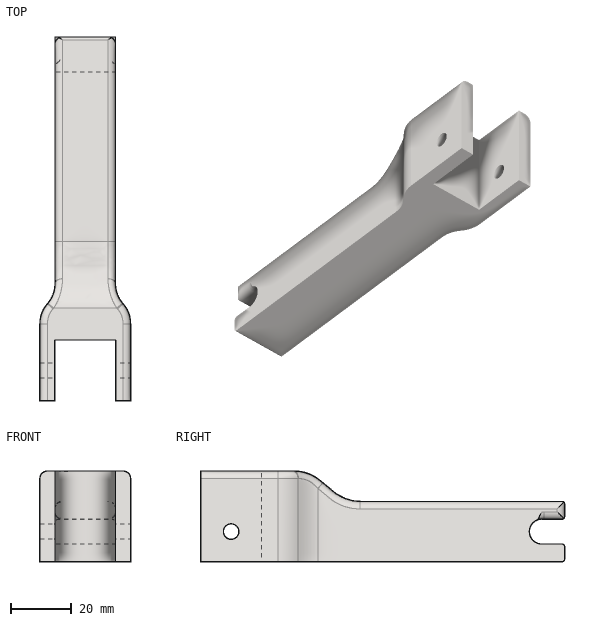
import cadquery as cq
import math

length = 120.0
fork_width = 30.0
fork_height = 30.0
arm_width = fork_width * 2 / 3
arm_height = fork_height * 2 / 3

top_bend_start = 30.6
top_bend_end = 52.5
side_bend_radius = 10.0
side_bend_start = 25.5

fork_gap = arm_width
fork_depth = 20.0
pin_diameter = 5.0
pin_from_tip = fork_depth / 2
pin_height = arm_height / 2

slot_height = 8.0
slot_bore_radius = 4.1
slot_bore_from_end = 7.5
slot_center_height = arm_height / 2

edge_radius = 2.5
end_edge_radius = 1.0

clearance = 1.2
pick_tolerance = 0.01


def bend_length(radius, offset):
    """Length of an S-bend of two equal arcs shifting a face by offset."""
    return math.sqrt(4 * radius * offset - offset**2)


def arc_middle(start, radius, offset):
    """Middle of the first arc and the inflection, as (distance along, shift)."""
    half_length = bend_length(radius, offset) / 2
    half_angle = math.asin(half_length / radius) / 2
    along = radius * math.sin(half_angle)
    shift = radius * (1 - math.cos(half_angle))
    return (start + along, shift), (start + half_length, offset / 2)


def side_profile():
    """Y-Z outline, with the top face stepping down from fork to arm."""
    return (
        cq.Workplane("YZ", origin=(-fork_width / 2, 0, 0))
        .moveTo(0, 0)
        .lineTo(0, fork_height)
        .lineTo(top_bend_start, fork_height)
        .spline([(top_bend_end, arm_height)], tangents=[(1, 0), (1, 0)], includeCurrent=True)
        .lineTo(length, arm_height)
        .lineTo(length, 0)
        .close()
        .extrude(fork_width)
    )


def plan_profile():
    """X-Y outline, narrowing from fork to arm on both sides."""
    fork_side = fork_width / 2
    arm_side = arm_width / 2
    step = fork_side - arm_side
    bend_end = side_bend_start + bend_length(side_bend_radius, step)
    (mid_y, mid_step), (turn_y, turn_step) = arc_middle(side_bend_start, side_bend_radius, step)
    mid_arm_y = side_bend_start + bend_end - mid_y
    return (
        cq.Workplane("XY")
        .moveTo(-fork_side, 0)
        .lineTo(fork_side, 0)
        .lineTo(fork_side, side_bend_start)
        .threePointArc((fork_side - mid_step, mid_y), (fork_side - turn_step, turn_y))
        .threePointArc((arm_side + mid_step, mid_arm_y), (arm_side, bend_end))
        .lineTo(arm_side, length)
        .lineTo(-arm_side, length)
        .lineTo(-arm_side, bend_end)
        .threePointArc((-arm_side - mid_step, mid_arm_y), (turn_step - fork_side, turn_y))
        .threePointArc((mid_step - fork_side, mid_y), (-fork_side, side_bend_start))
        .close()
        .extrude(fork_height)
    )


def arm_slot():
    """Slot open to the arm end, ending in a slightly wider round bore."""
    bore_y = length - slot_bore_from_end
    mouth = (
        cq.Workplane("XY")
        .box(fork_width, slot_bore_from_end + clearance, slot_height, centered=(True, False, True))
        .translate((0, bore_y, slot_center_height))
    )
    bore = (
        cq.Workplane("YZ")
        .center(bore_y, slot_center_height)
        .circle(slot_bore_radius)
        .extrude(fork_width / 2, both=True)
    )
    return mouth.union(bore)


def round_top_edges(body):
    """Round both long upper edges from fork tip to arm end."""
    tip_edges = body.edges("|Y").edges(cq.selectors.BoxSelector(
        (-fork_width, -clearance, fork_height - clearance),
        (fork_width, side_bend_start, fork_height + clearance),
    ))
    return tip_edges.fillet(edge_radius)


def round_lip_underside(body):
    """Round the two side edges where the slot roof meets the arm sides."""
    roof_height = slot_center_height + slot_height / 2
    roof_edges = body.edges("|Y").edges(cq.selectors.BoxSelector(
        (-fork_width, length - slot_bore_from_end, roof_height - pick_tolerance),
        (fork_width, length + clearance, roof_height + pick_tolerance),
    ))
    return roof_edges.fillet(edge_radius)


def prong_end(bottom, top):
    """Envelope of one prong beside the slot, its end edges slightly rounded."""
    return (
        cq.Workplane("XY")
        .box(arm_width, slot_bore_from_end, top - bottom, centered=(True, False, False))
        .translate((0, length - slot_bore_from_end, bottom))
        .edges(">Y and |X")
        .fillet(end_edge_radius)
    )


def lip_plan():
    """Upper prong envelope with its two upright corners rounded."""
    return (
        cq.Workplane("XY")
        .box(arm_width, slot_bore_from_end, arm_height, centered=(True, False, False))
        .translate((0, length - slot_bore_from_end, 0))
        .edges(">Y and |Z")
        .fillet(edge_radius)
    )


def round_arm_end(body):
    """Trim both prongs to their rounded envelopes."""
    slot_floor = slot_center_height - slot_height / 2
    slot_roof = slot_center_height + slot_height / 2
    end_block = (
        cq.Workplane("XY")
        .box(fork_width, slot_bore_from_end, fork_height, centered=(True, False, False))
        .translate((0, length - slot_bore_from_end, 0))
    )
    lower = prong_end(0, slot_floor)
    upper = prong_end(slot_roof, arm_height).intersect(lip_plan())
    return body.cut(end_block.cut(lower).cut(upper))


def fork_opening():
    """Gap between the fork cheeks, open at the tips and through the height."""
    return cq.Workplane("XY").box(fork_gap, 2 * fork_depth, 3 * fork_height)


def pin_hole():
    """Cross hole through both fork cheeks."""
    return (
        cq.Workplane("YZ")
        .center(pin_from_tip, pin_height)
        .circle(pin_diameter / 2)
        .extrude(fork_width, both=True)
    )


body = round_top_edges(side_profile().intersect(plan_profile()))
body = round_lip_underside(body.cut(arm_slot()))
body = round_arm_end(body)
result = body.cut(fork_opening()).cut(pin_hole())